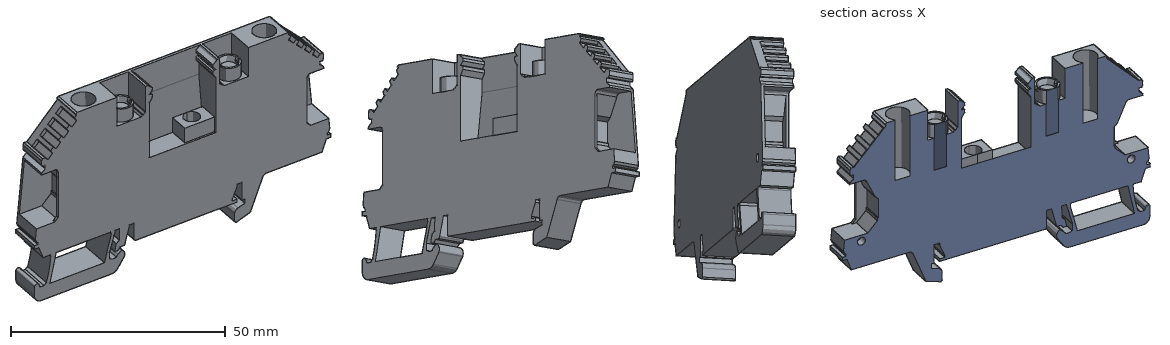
import cadquery as cq


width = 7.9
half_length = 41.35
height = 49.5
plate = 0.75
body_base = 12.0
overlap = 0.4

shoulder_top_y = 29.6
shoulder_top_z = 48.9
groove_count = 4
groove_step = 2.2
groove_first_drop = 0.6
groove_start_x = 2.2

wire_hole_x = 4.2
wire_hole_y = 25.2
wire_hole_radius = 2.9
wire_hole_depth = 16.5

block_inner_y = 18.4
chamber_inner_y = 11.7
chamber_floor_z = 41.35
screw_x = 4.55
screw_y = 15.05
screw_radius = 3.0
screw_top_z = 45.0
screw_length = 12.4
recess_top_radius = 2.5
recess_bottom_radius = 2.0
recess_depth = 1.5
slot_depth = 1.0
slot_width = 1.0

trough_half_length = 9.3
bead_y = 8.4
trough_floor_z = 28.95
trough_slope_foot_x = 2.3
trough_slope_top_z = 41.35
fin_outer_y = 10.3
fin_inner_y = 9.7

entry_floor_z = 20.8
entry_top_z = 35.6
entry_face_y = 34.7
entry_funnel_top_z = 34.7
entry_bevel = 1.0
entry_wall = 0.7

marker_y = 36.2
marker_z = 19.1
marker_radius = 1.0
marker_depth = 4.1

contact_end_x = 7.45
contact_length = 8.35
contact_height = 4.1
contact_hole_x = 4.4
contact_hole_y = 4.9
contact_hole_radius = 2.1


def prism(points, start_x=0.0, end_x=width):
    """Extrude a closed (Y, Z) outline along X."""
    return cq.Workplane("YZ").workplane(offset=start_x).polyline(points).close().extrude(end_x - start_x)


def mirrored(points):
    """The same (Y, Z) points on the other side of Y = 0, in reverse order."""
    return [(-y, z) for y, z in reversed(points)]


def box(start, end):
    """Box between two opposite corners."""
    size = [b - a for a, b in zip(start, end)]
    return cq.Workplane("XY").box(*size, centered=False).translate(start)


def upright_cylinder(x, y, bottom_z, top_z, radius):
    return cq.Workplane("XY").workplane(offset=bottom_z).center(x, y).circle(radius).extrude(top_z - bottom_z)


def main_body():
    """Upper block, with a bead, a lip and a rim at each end."""
    end_profile = [
        (29.4, height),
        (29.9, 49.1),
        (shoulder_top_y, shoulder_top_z),
        (38.3, 40.0),
        (39.1, 40.1),
        (39.4, 39.5),
        (39.4, 38.4),
        (39.1, 37.9),
        (38.4, 37.9),
        (38.4, 37.0),
        (39.4, 36.05),
        (41.1, 17.9),
        (40.85, 17.2),
        (40.4, 16.8),
        (40.4, 16.3),
        (half_length, 16.3),
        (half_length, 15.3),
        (40.1, 15.2),
        (38.95, body_base),
    ]
    return prism(end_profile + mirrored(end_profile))


def clip_leg():
    """Fixed leg that hooks under one edge of the rail."""
    top = body_base + overlap
    return (
        cq.Workplane("YZ")
        .moveTo(16.6, top)
        .lineTo(23.4, top)
        .lineTo(23.4, body_base)
        .threePointArc((22.75, 11.75), (22.3, 11.2))
        .lineTo(18.9, 2.65)
        .lineTo(14.9, 1.2)
        .lineTo(14.5, 1.65)
        .lineTo(14.5, 3.8)
        .threePointArc((14.7, 4.6), (15.5, 5.2))
        .lineTo(17.4, 5.8)
        .lineTo(17.4, 6.95)
        .lineTo(16.6, 6.95)
        .close()
        .extrude(width)
    )


def rail_seat():
    """Flat-bottomed block that rests on the rail, notched beside the clip leg."""
    top = body_base + overlap
    return prism([
        (15.2, top),
        (15.2, 11.4),
        (13.9, 8.3),
        (13.9, 7.8),
        (15.2, 7.8),
        (15.2, 6.95),
        (-13.2, 6.95),
        (-13.6, 7.3),
        (-13.6, top),
    ])


def rail_hook():
    """Short hook beside the sprung foot."""
    top = body_base + overlap
    return prism([
        (-14.8, top),
        (-14.8, body_base),
        (-16.05, 7.3),
        (-16.3, 6.8),
        (-17.4, 6.7),
        (-18.0, 5.95),
        (-18.9, 5.95),
        (-18.9, 6.3),
        (-18.5, 8.1),
        (-17.7, 8.8),
        (-17.6, top),
    ])


def foot():
    """Sprung foot: a bar with a rounded toe, hung from the body on two slanted legs."""
    top = body_base + overlap
    bar_top = 4.0
    leg_root = 3.3
    bar = (
        cq.Workplane("YZ")
        .moveTo(-21.8, bar_top)
        .lineTo(-20.3, 4.5)
        .threePointArc((-19.35, 4.1), (-18.5, 4.3))
        .lineTo(-18.0, 5.0)
        .lineTo(-17.0, 5.7)
        .threePointArc((-16.2, 4.7), (-16.3, 3.55))
        .lineTo(-18.1, 0.9)
        .threePointArc((-18.85, 0.25), (-19.85, 0.0))
        .lineTo(-39.9, 0.0)
        .threePointArc((-40.85, 0.7), (-half_length, 2.1))
        .lineTo(-half_length, 4.6)
        .threePointArc((-40.7, 5.2), (-40.0, 4.6))
        .lineTo(-39.8, bar_top)
        .close()
        .extrude(width)
    )
    inner_leg = prism([
        (-18.8, top),
        (-18.8, body_base),
        (-20.4, 6.2),
        (-20.3, leg_root),
        (-21.8, leg_root),
        (-21.8, bar_top),
        (-19.9, 11.3),
        (-20.2, top),
    ])
    outer_leg = (
        cq.Workplane("YZ")
        .moveTo(-35.3, top)
        .lineTo(-35.3, body_base)
        .lineTo(-37.05, bar_top)
        .lineTo(-37.05, leg_root)
        .lineTo(-38.7, leg_root)
        .lineTo(-38.7, bar_top)
        .lineTo(-38.05, 4.55)
        .threePointArc((-37.2, 8.1), (-36.8, 11.6))
        .lineTo(-37.0, top)
        .close()
        .extrude(width)
    )
    return bar.union(inner_leg).union(outer_leg)


def grip_grooves():
    """Row of grooves across one shoulder, each with a steep upper wall and a floor along the slope."""
    groove_profile = [
        (0.25, 0.25),
        (0.0, 0.0),
        (-0.3, -0.75),
        (-0.6, -1.0),
        (0.75, -2.3),
        (1.7, -1.3),
    ]
    grooves = cq.Workplane("YZ")
    for index in range(groove_count):
        drop = groove_first_drop + index * groove_step
        upper_edge = (0, shoulder_top_y + drop, shoulder_top_z - drop)
        grooves = grooves.add(prism(groove_profile, groove_start_x).translate(upper_edge))
    return grooves.combine()


def wire_entry():
    """Open recess at one end, leading into a funnel."""
    opening = (
        cq.Workplane("YZ")
        .workplane(offset=plate)
        .moveTo(half_length, entry_floor_z)
        .lineTo(entry_face_y + entry_bevel, entry_floor_z)
        .lineTo(entry_face_y, entry_floor_z + entry_bevel)
        .lineTo(entry_face_y, entry_top_z - entry_bevel)
        .tangentArcPoint((entry_face_y + entry_bevel, entry_top_z), relative=False)
        .lineTo(half_length, entry_top_z)
        .close()
        .extrude(width - plate)
    )
    funnel = prism(
        [
            (entry_face_y + entry_bevel, entry_floor_z),
            (34.6, entry_floor_z),
            (32.0, 23.4),
            (32.0, 24.15),
            (31.7, 24.15),
            (31.7, 29.2),
            (32.6, 30.1),
            (entry_face_y, entry_funnel_top_z),
            (entry_face_y + entry_bevel, entry_funnel_top_z),
        ],
        plate,
        width - entry_wall,
    )
    return opening.union(funnel)


def screw_chamber():
    """Pocket around one screw, with a stepped side next to the trough and a hole for the screw."""
    pocket = prism(
        [
            (block_inner_y, height),
            (block_inner_y, chamber_floor_z),
            (chamber_inner_y, chamber_floor_z),
            (11.25, 41.8),
            (11.0, 41.8),
            (10.5, 42.35),
            (fin_outer_y, 42.35),
            (fin_outer_y, height),
        ],
        plate,
    )
    hole = upright_cylinder(screw_x, screw_y, screw_top_z - screw_length, height, screw_radius)
    return pocket.union(hole)


def trough():
    """Middle recess, open towards high X, with beaded end walls and a sloping back."""
    end_wall = [
        (trough_half_length, trough_floor_z),
        (trough_half_length, 44.5),
        (bead_y, 45.8),
        (bead_y, 46.6),
        (8.85, 46.8),
        (trough_half_length, 46.8),
        (bead_y, 47.8),
        (bead_y, 48.5),
        (9.4, 49.3),
        (fin_inner_y, height),
    ]
    recess = prism(end_wall + mirrored(end_wall), plate)
    sloping_back = (
        cq.Workplane("XZ")
        .polyline([
            (plate, trough_floor_z),
            (trough_slope_foot_x, trough_floor_z),
            (plate, trough_slope_top_z),
        ])
        .close()
        .extrude(trough_half_length, both=True)
    )
    return recess.cut(sloping_back)


def wire_hole():
    """Blind hole in the top block for one wire."""
    return upright_cylinder(wire_hole_x, wire_hole_y, height - wire_hole_depth, height, wire_hole_radius)


def marker_hole():
    """Small blind hole in the closed wall."""
    return cq.Workplane("YZ").center(marker_y, marker_z).circle(marker_radius).extrude(marker_depth)


def make_housing():
    housing = main_body()
    for end_feature in (grip_grooves(), wire_entry(), screw_chamber(), wire_hole(), marker_hole()):
        housing = housing.cut(end_feature).cut(end_feature.mirror("XZ"))
    housing = housing.cut(trough())
    for lower_piece in (clip_leg(), rail_seat(), rail_hook(), foot()):
        housing = housing.union(lower_piece)
    return housing


def make_screw(y):
    """Terminal screw with a cone-sided recess in its head, crossed by a slot."""
    bottom_z = screw_top_z - screw_length
    screw = upright_cylinder(screw_x, y, bottom_z, screw_top_z, screw_radius)
    recess = (
        cq.Workplane("XY")
        .workplane(offset=screw_top_z - recess_depth)
        .center(screw_x, y)
        .circle(recess_bottom_radius)
        .workplane(offset=recess_depth)
        .circle(recess_top_radius)
        .loft()
    )
    slot = box(
        (screw_x - slot_width / 2, y - screw_radius, screw_top_z - slot_depth),
        (screw_x + slot_width / 2, y + screw_radius, screw_top_z),
    )
    return screw.cut(recess).cut(slot)


def make_contact():
    """Metal block on the trough floor, with a hole down through it."""
    top_z = trough_floor_z + contact_height
    block = box(
        (trough_slope_foot_x, trough_half_length - contact_length, trough_floor_z),
        (contact_end_x, trough_half_length, top_z),
    )
    hole = upright_cylinder(contact_hole_x, contact_hole_y, trough_floor_z, top_z, contact_hole_radius)
    return block.cut(hole)


housing = make_housing()
screws = [make_screw(y) for y in (-screw_y, screw_y)]
contact = make_contact()

result = cq.Compound.makeCompound([housing.val(), *[screw.val() for screw in screws], contact.val()])